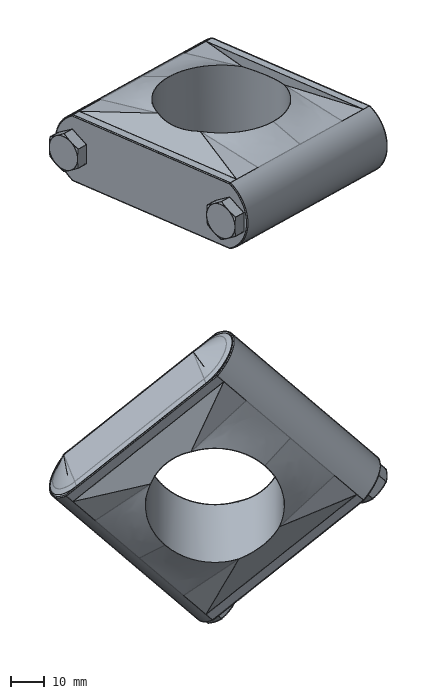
import cadquery as cq
import math

length = 75.85
depth = 62.6
flat_width = 62.0
flat_height = 22.3
end_chamfer = 0.3

bore_radius = 20.5
total_height = 29.9
blend_length = 56.4
rim_half_length = 18.7

ridge_height = 5.45
ridge_half_length = 26.55
ridge_foot_radius = 10.8
ridge_foot_height = 0.7
ridge_slope_radius = 9.1

bolt_spacing = flat_width
bolt_across_flats = 11.15
bolt_head_height = 3.95
bolt_tip_chamfer = 0.3

half_depth = depth / 2
half_flat = flat_width / 2
face_z = flat_height / 2
rim_z = total_height / 2


def make_body():
    """Bar with circular-arc sides and lightly chamfered ends."""
    return (
        cq.Workplane("XZ", origin=(0, half_depth, 0))
        .moveTo(-half_flat, face_z)
        .lineTo(half_flat, face_z)
        .threePointArc((length / 2, 0), (half_flat, -face_z))
        .lineTo(-half_flat, -face_z)
        .threePointArc((-length / 2, 0), (-half_flat, face_z))
        .close()
        .extrude(depth)
        .faces("<Y or >Y")
        .chamfer(end_chamfer)
    )


def polygon_face(*points):
    return cq.Face.makeFromWires(cq.Wire.makePolygon(points, close=True))


def make_raised_blend():
    """Raised top: flat faces at the ends and ruled faces from the bore rim to the sides."""
    rim_x = math.sqrt(bore_radius**2 - rim_half_length**2)
    half_arc_angle = math.asin(rim_half_length / bore_radius) / 2
    blend_y = blend_length / 2

    faces = []
    rim_edges = []
    for side in (-1, 1):
        side_x = side * half_flat
        for end in (-1, 1):
            rim_corner = cq.Vector(side * rim_x, end * rim_half_length, rim_z)
            side_point = cq.Vector(side_x, end * rim_half_length, face_z)
            outer_corner = cq.Vector(side_x, end * blend_y, face_z)
            faces.append(polygon_face(rim_corner, side_point, outer_corner))

            rim_middle = cq.Vector(side * bore_radius, 0, rim_z)
            side_middle = cq.Vector(side_x, 0, face_z)
            arc_x = side * bore_radius * math.cos(half_arc_angle)
            arc_y = end * bore_radius * math.sin(half_arc_angle)
            arc_point = cq.Vector(arc_x, arc_y, rim_z)
            rim_arc = cq.Edge.makeThreePointArc(rim_middle, arc_point, rim_corner)
            side_edge = cq.Edge.makeLine(side_middle, side_point)
            rim_edges.append(rim_arc)
            faces.append(cq.Face.makeRuledSurface(rim_arc, side_edge))

    for end in (-1, 1):
        rim_y = end * rim_half_length
        outer_y = end * blend_y
        faces.append(
            polygon_face(
                cq.Vector(-half_flat, outer_y, face_z),
                cq.Vector(half_flat, outer_y, face_z),
                cq.Vector(rim_x, rim_y, rim_z),
                cq.Vector(-rim_x, rim_y, rim_z),
            )
        )
        rim_edges.append(
            cq.Edge.makeLine(cq.Vector(-rim_x, rim_y, rim_z), cq.Vector(rim_x, rim_y, rim_z))
        )
    faces.append(cq.Face.makeFromWires(cq.Wire.assembleEdges(rim_edges)))

    side_steps = (-blend_y, -rim_half_length, 0, rim_half_length, blend_y)
    right_side = [cq.Vector(half_flat, y, face_z) for y in side_steps]
    left_side = [cq.Vector(-half_flat, y, face_z) for y in reversed(side_steps)]
    faces.append(polygon_face(*right_side, *left_side))
    solid = cq.Solid.makeSolid(cq.Shell.makeShell(faces))
    return cq.Workplane(solid.fix())


def make_ridge():
    """Pointed ridge along X with a shallow foot, closed by a matching cone at each end."""
    foot_y = half_depth + ridge_foot_height
    tip_y = half_depth + ridge_height
    ridge = (
        cq.Workplane("YZ", origin=(-ridge_half_length, 0, 0))
        .moveTo(half_depth, -ridge_foot_radius)
        .lineTo(foot_y, -ridge_slope_radius)
        .lineTo(tip_y, 0)
        .lineTo(foot_y, ridge_slope_radius)
        .lineTo(half_depth, ridge_foot_radius)
        .close()
        .extrude(2 * ridge_half_length)
    )
    for side in (-1, 1):
        cone = (
            cq.Workplane("XY", origin=(side * ridge_half_length, 0, 0))
            .moveTo(0, half_depth)
            .lineTo(ridge_foot_radius, half_depth)
            .lineTo(ridge_slope_radius, foot_y)
            .lineTo(0, tip_y)
            .close()
            .revolve(360, (0, 0, 0), (0, 1, 0))
        )
        ridge = ridge.union(cone)
    return ridge


def make_bolt_head(x):
    """Hexagon head with its upper corners turned down to a circle."""
    across_corners = bolt_across_flats / math.cos(math.pi / 6)
    plane = cq.Workplane("XZ", origin=(x, -half_depth, 0))
    hexagon = plane.transformed(rotate=(0, 0, 30)).polygon(6, across_corners).extrude(bolt_head_height)
    corner_chamfer = (across_corners - bolt_across_flats) / 2
    turned = (
        plane.circle(across_corners / 2)
        .extrude(bolt_head_height)
        .faces("<Y")
        .chamfer(bolt_tip_chamfer, corner_chamfer)
    )
    return hexagon.intersect(turned)


top_blend = make_raised_blend()
result = make_body().union(top_blend).union(top_blend.mirror("XY")).union(make_ridge())
for bolt_x in (-bolt_spacing / 2, bolt_spacing / 2):
    result = result.union(make_bolt_head(bolt_x))

bore = cq.Workplane("XY", origin=(0, 0, -rim_z)).circle(bore_radius).extrude(total_height)
result = result.cut(bore)